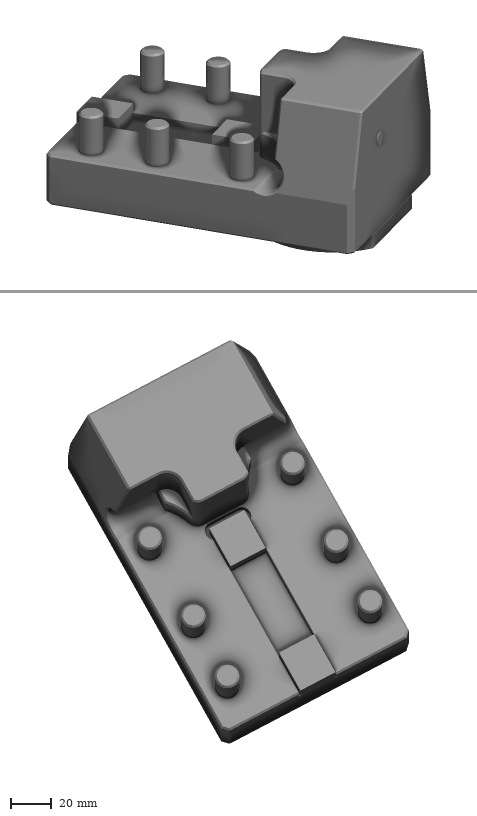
import cadquery as cq
import math

base_length = 164.0
base_width = 105.0
base_height = 27.0
corner_chamfer = 3.0
edge_chamfer = 1.0

head_top = 73.0
head_top_half_width = 40.5
wall_x = 120.5
nose_x = 98.3
nose_half_flat = 11.0
nose_corner_radius = 6.0
pocket_side_y = 15.6
pocket_outer_y = 24.0
pocket_fillet = pocket_outer_y - pocket_side_y
ledge_z = 41.0
ledge_corner_x = 113.8
skirt_arc_y = 16.6
foot_flare = 0.3
foot_height = 1.5

groove_x = 116.6
groove_z = 34.5
groove_radius = 9.0

pin_diameter = 12.0
pin_height = 21.0
pin_chamfer = 1.0
pin_x_positions = (20.0, 55.0, 100.0)
pin_y = 40.0

slot_half_width = 10.3
slot_depth = 5.0
slot_end_x = 97.4
slot_edge_chamfer = 0.3
slot_floor_flare = 0.3
slot_floor_flare_height = 1.0
relief_radius = 4.5
relief_y = 7.7
key_width = 19.6
key_length = 22.0
key_rise = 5.0
key_start_positions = (0.0, 72.0)

disc_x = 132.3
disc_half_length = base_length - disc_x
disc_diameter = 80.8
disc_height = 7.5
disc_chamfer = 0.5
pad_diameter = 50.0
pad_height = 0.5

button_diameter = 7.0
button_height = 0.54
button_y = -17.7
button_z = 48.8

overlap = 1.0
tolerance = 0.01

half_width = base_width / 2


def box(x0, x1, y0, y1, z0, z1):
    """Axis-aligned box between two corners."""
    return cq.Workplane("XY").box(x1 - x0, y1 - y0, z1 - z0, centered=False).translate((x0, y0, z0))


def nose_arc_point(y):
    """Point at sideways distance y on the rounded corner of the nose."""
    rise = y - nose_half_flat
    return nose_x + nose_corner_radius - math.sqrt(nose_corner_radius**2 - rise**2), y


def nose_arc_middle(end_y):
    """Point half way up the nose corner arc that ends at end_y."""
    sweep = math.asin((end_y - nose_half_flat) / nose_corner_radius) / 2
    x = nose_x + nose_corner_radius * (1 - math.cos(sweep))
    return x, nose_half_flat + nose_corner_radius * math.sin(sweep)


def half_head_outline(arc_end_y):
    """Start a half head outline: centre line, nose front and nose corner arc."""
    return (
        cq.Workplane("XY")
        .moveTo(base_length + overlap, 0)
        .lineTo(nose_x, 0)
        .lineTo(nose_x, nose_half_flat)
        .threePointArc(nose_arc_middle(arc_end_y), nose_arc_point(arc_end_y))
    )


def close_half_outline(outline):
    """Run from the pocket end out past the flank and close on the centre line."""
    return (
        outline.lineTo(wall_x, half_width + overlap)
        .lineTo(base_length + overlap, half_width + overlap)
        .close()
    )


def mirrored(half):
    """Join a half on the +Y side with its mirror image."""
    return half.union(half.mirror("XZ"))


def upper_head():
    """Head above the ledge: nose side runs into the wall through a concave fillet."""
    outline = half_head_outline(pocket_side_y).lineTo(wall_x - pocket_fillet, pocket_side_y)
    outline = outline.radiusArc((wall_x, pocket_outer_y), -pocket_fillet)
    half = close_half_outline(outline).extrude(head_top - ledge_z).translate((0, 0, ledge_z))
    return mirrored(half)


def skirt_outline():
    """Foot of the nose below the ledge, spreading in a concave arc."""
    outline = half_head_outline(skirt_arc_y)
    outline = outline.tangentArcPoint((ledge_corner_x, pocket_outer_y), relative=False)
    return outline.lineTo(wall_x, pocket_outer_y)


def lower_head():
    """Head between the base top and the ledge."""
    half = close_half_outline(skirt_outline()).extrude(ledge_z - base_height)
    return mirrored(half.translate((0, 0, base_height)))


def envelope():
    """Prism with sloping flanks and chamfered vertical corners."""
    profile = (
        cq.Workplane("YZ")
        .polyline(
            [
                (-half_width, 0),
                (half_width, 0),
                (half_width, base_height),
                (head_top_half_width, head_top),
                (-head_top_half_width, head_top),
                (-half_width, base_height),
            ]
        )
        .close()
        .extrude(base_length)
    )
    plan = box(0, base_length, -half_width, half_width, 0, head_top).edges("|Z").chamfer(corner_chamfer)
    return profile.intersect(plan)


def grooves():
    """Both groove halves, outboard of the pocket."""
    length = half_width - pocket_outer_y + overlap
    half = cq.Workplane("XZ").circle(groove_radius).extrude(-length)
    return mirrored(half.translate((groove_x, pocket_outer_y, groove_z)))


def body():
    """Base and head with sharp edges, cut by the grooves."""
    base = box(0, base_length, -half_width, half_width, 0, base_height)
    shape = envelope().intersect(base.union(lower_head()).union(upper_head()))
    return shape.cut(grooves())


def on_flank(edge):
    """True for an edge that lies on a side face or a sloping flank."""
    flank_lean = (half_width - head_top_half_width) / (head_top - base_height)
    points = [edge.positionAt(fraction) for fraction in (0.0, 0.5, 1.0)]
    for point in points:
        flank_y = half_width - flank_lean * max(point.z - base_height, 0)
        if abs(abs(point.y) - flank_y) > tolerance:
            return False
    return True


def is_rim_edge(edge):
    """True for the top, groove, wall and base edges that are broken by a chamfer."""
    bounds = edge.BoundingBox()
    is_top = bounds.zmin > head_top - tolerance
    is_front = bounds.xmax < corner_chamfer + tolerance and bounds.zmin > base_height - tolerance
    ahead_of_head = corner_chamfer + tolerance < edge.Center().x < groove_x + groove_radius
    is_side = ahead_of_head and bounds.zmin > tolerance and on_flank(edge)
    is_rear = bounds.xmin > base_length - tolerance and bounds.zmax > head_top - tolerance
    return is_top or is_front or is_side or is_rear


def is_ledge_edge(edge):
    """True for the outer edges of the ledge: both spreading arcs and the ends over the grooves."""
    bounds = edge.BoundingBox()
    at_ledge = abs(bounds.zmin - ledge_z) < tolerance and abs(bounds.zmax - ledge_z) < tolerance
    middle = edge.positionAt(0.5)
    beyond_pocket = abs(middle.y) > pocket_side_y + tolerance
    wall_fillet_start_x = wall_x - pocket_fillet
    is_pocket_fillet = wall_fillet_start_x - tolerance < bounds.xmin < ledge_corner_x - tolerance
    is_pocket_fillet = is_pocket_fillet and abs(middle.y) < pocket_outer_y - tolerance
    return at_ledge and beyond_pocket and not is_pocket_fillet


def is_foot_edge(edge):
    """True for the inside corner between the foot of the nose and the base top."""
    bounds = edge.BoundingBox()
    at_foot = abs(bounds.zmin - base_height) < tolerance and abs(bounds.zmax - base_height) < tolerance
    return at_foot and bounds.xmin > nose_x - tolerance and abs(edge.Center().y) < pocket_outer_y - tolerance


def chamfer_edges(shape, is_wanted, size, second_size=None):
    """Chamfer every edge that satisfies the test is_wanted, with unequal legs if two sizes are given."""
    wanted = [edge for edge in shape.edges().vals() if is_wanted(edge)]
    return shape.newObject(wanted).chamfer(size, second_size)


def chamfered_body():
    """Body with its edges broken and the keyway cut."""
    shape = chamfer_edges(body(), is_foot_edge, foot_flare, foot_height)
    shape = chamfer_edges(shape, is_rim_edge, edge_chamfer)
    shape = chamfer_edges(shape, is_ledge_edge, edge_chamfer)
    shape = shape.faces("<Z").edges().chamfer(edge_chamfer)
    return shape.cut(keyway())


def keyway_outline():
    """Plan of the slot: open at the front face, with round reliefs in its two end corners."""
    relief_x = slot_end_x - relief_radius
    relief_start_x = relief_x - math.sqrt(relief_radius**2 - (slot_half_width - relief_y) ** 2)
    relief_edge_y = relief_y + relief_radius
    return (
        cq.Workplane("XY")
        .moveTo(-overlap, -slot_half_width)
        .lineTo(relief_start_x, -slot_half_width)
        .threePointArc((relief_x, -relief_edge_y), (slot_end_x, -relief_y))
        .lineTo(slot_end_x, relief_y)
        .threePointArc((relief_x, relief_edge_y), (relief_start_x, slot_half_width))
        .lineTo(-overlap, slot_half_width)
        .close()
    )


def keyway():
    """Slot with filled floor corners and broken edges along its top and at the front face."""
    floor_z = base_height - slot_depth
    slot = keyway_outline().extrude(slot_depth)
    slot = slot.edges("|X and <Z").chamfer(slot_floor_flare_height, slot_floor_flare)
    top_flare = keyway_outline().extrude(slot_edge_chamfer, taper=-45)
    front_half_width = slot_half_width + slot_edge_chamfer
    front_flare = (
        cq.Workplane("XY")
        .polyline(
            [
                (0, -front_half_width),
                (slot_edge_chamfer, -slot_half_width),
                (slot_edge_chamfer, slot_half_width),
                (0, front_half_width),
            ]
        )
        .close()
        .extrude(slot_depth)
    )
    tool = slot.union(front_flare).union(top_flare.translate((0, 0, slot_depth - slot_edge_chamfer)))
    return tool.translate((0, 0, floor_z))


def keys():
    """Key blocks standing on the keyway floor."""
    blocks = cq.Workplane("XY")
    for start in key_start_positions:
        block = box(
            start,
            start + key_length,
            -key_width / 2,
            key_width / 2,
            base_height - slot_depth,
            base_height + key_rise,
        )
        blocks = blocks.add(block)
    return blocks.combine()


def pins():
    """Two rows of dowel pins on the base top."""
    places = [(x, y) for x in pin_x_positions for y in (-pin_y, pin_y)]
    return (
        cq.Workplane("XY")
        .workplane(offset=base_height)
        .pushPoints(places)
        .circle(pin_diameter / 2)
        .extrude(pin_height)
        .faces(">Z")
        .chamfer(pin_chamfer)
    )


def underside_disc():
    """Disc with two flats across X, carrying a thin round pad."""
    blank = cq.Workplane("XY").circle(disc_diameter / 2).extrude(-disc_height)
    limits = box(-disc_half_length, disc_half_length, -disc_diameter, disc_diameter, -disc_height, 0)
    disc = blank.intersect(limits).faces("<Z").chamfer(disc_chamfer)
    pad = cq.Workplane("XY").circle(pad_diameter / 2).extrude(-pad_height).translate((0, 0, -disc_height))
    return disc.union(pad).translate((disc_x, 0, 0))


def rear_button():
    """Thin round button on the rear face."""
    button = cq.Workplane("YZ").circle(button_diameter / 2).extrude(button_height)
    return button.translate((base_length, button_y, button_z))


result = chamfered_body()
for feature in (keys(), pins(), underside_disc(), rear_button()):
    result = result.union(feature)